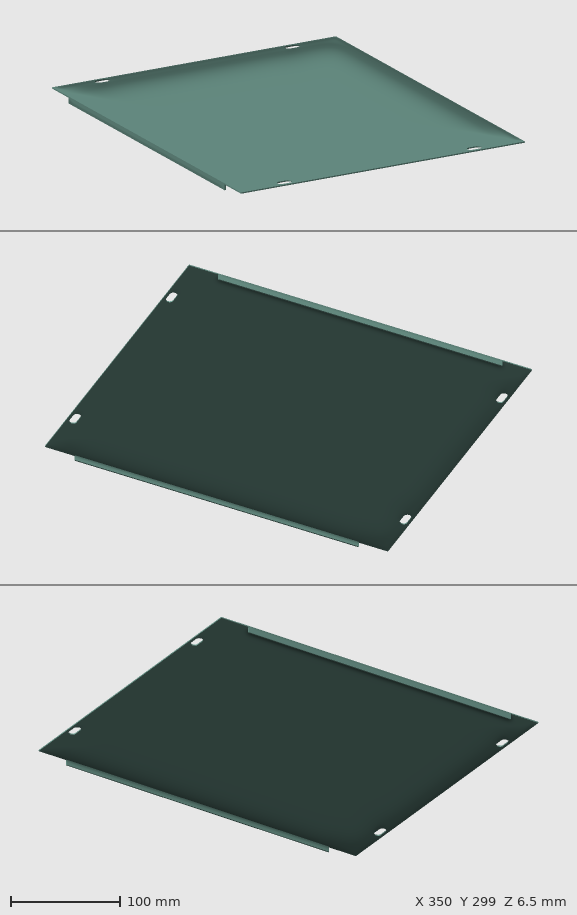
import cadquery as cq

panel_length = 350.0
panel_width = 299.0
total_height = 6.5
sheet_thickness = 1.2

flange_length = 289.5

slot_length = 15.0
slot_width = 7.5
slot_spacing_x = 337.0
slot_spacing_y = 200.0


def make_panel():
    """Flat sheet whose top face lies at the full part height."""
    sheet = cq.Workplane("XY").box(panel_length, panel_width, sheet_thickness, centered=(True, True, False))
    return sheet.translate((0, 0, total_height - sheet_thickness))


def make_flange(side):
    """Downward flange, flush with the long edge on the given side (+1 or -1 in Y)."""
    flange = cq.Workplane("XY").box(flange_length, sheet_thickness, total_height, centered=(True, True, False))
    return flange.translate((0, side * (panel_width - sheet_thickness) / 2, 0))


def make_slots():
    """Cutters for the four round-ended slots, running along Y."""
    return (
        cq.Workplane("XY")
        .rarray(slot_spacing_x, slot_spacing_y, 2, 2)
        .slot2D(slot_length, slot_width, angle=90)
        .extrude(total_height)
    )


result = make_panel()
for side in (-1, 1):
    result = result.union(make_flange(side))
result = result.cut(make_slots())